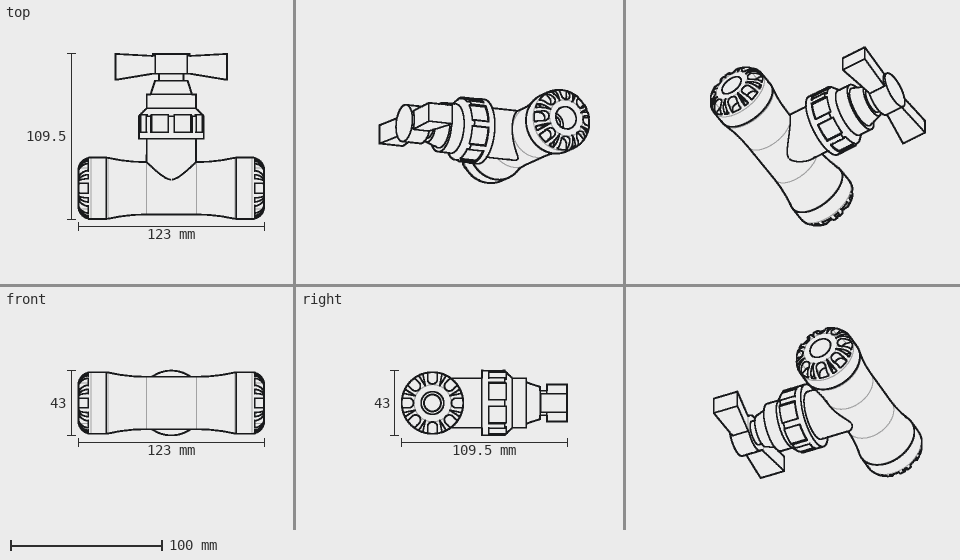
import cadquery as cq
import math

length = 123.0
waist_dia = 34.8
waist_half_length = 16.5
end_dia = 41.0
cap_face_dia = 24.6
cap_round = (end_dia - cap_face_dia) / 2
cap_length = 18.6
collar_length = 0.9
collar_dia = 40.6
bore_dia = 11.1
counterbore_dia = 15.0

grip_count = 8
grip_depth = 6.4
round_slot_inner_radius = 12.5
round_slot_width = 6.5
wedge_outer_radius = 22.1
wedge_outer_width = 3.7

branch_dia = 32.8
nut_dia = 43.0
nut_start = 32.7
bonnet_end = 62.1
nut_cone_end = 52.9
cone_start_dia = 27.5
cone_end_dia = 21.6
cone_end = 71.2
stem_dia = 16.4

rib_count = 8
rib_width = 4.0
nut_recess_dia = 41.0
nut_recess_start = 37.1

cutter_margin = 1.2

handle_top = 89.0
hub_dia = 24.6
hub_bottom = 75.8
handle_span = 74.0
blade_thickness = 12.5
blade_tip_bottom = 71.7
blade_root_top = 87.7
blade_root_x = hub_dia / 2


def branch_cylinder(diameter, start, end):
    """Round bar on the branch axis between two Y stations."""
    plane = cq.Workplane("XZ", origin=(0, start, 0))
    return plane.circle(diameter / 2).extrude(start - end)


def run_body():
    """Revolved run pipe: straight waist, then an arc flare, a thin collar and a rounded cap at each end."""
    half = length / 2
    end_radius = end_dia / 2
    waist_radius = waist_dia / 2
    collar_radius = collar_dia / 2
    cap_x = half - cap_length
    collar_x = cap_x - collar_length
    flare_run = collar_x - waist_half_length
    flare_rise = collar_radius - waist_radius
    arc_radius = (flare_run**2 + flare_rise**2) / (2 * flare_rise)
    mid_run = flare_run / 2
    mid_radius = waist_radius + arc_radius - math.sqrt(arc_radius**2 - mid_run**2)
    round_mid = cap_round * math.sqrt(0.5)
    end_profile = (
        cq.Workplane("XY")
        .moveTo(waist_half_length, 0)
        .lineTo(waist_half_length, waist_radius)
        .threePointArc((waist_half_length + mid_run, mid_radius), (collar_x, collar_radius))
        .lineTo(cap_x, collar_radius)
        .lineTo(cap_x, end_radius)
        .lineTo(half - cap_round, end_radius)
        .threePointArc(
            (half - cap_round + round_mid, cap_face_dia / 2 + round_mid),
            (half, cap_face_dia / 2),
        )
        .lineTo(half, 0)
        .close()
    )
    end = end_profile.revolve(360, (0, 0, 0), (1, 0, 0))
    waist = cq.Workplane("YZ").circle(waist_radius).extrude(waist_half_length, both=True)
    return waist.union(end).union(end.mirror("YZ"))


def cap_grips():
    """Cutters for the round-ended slots and the wedges between them on the +X cap."""
    face = cq.Workplane("YZ", origin=(length / 2 - grip_depth, 0, 0))
    slot_radius = round_slot_width / 2
    slot_centre = round_slot_inner_radius + slot_radius
    slot = (
        face.moveTo(end_dia, -slot_radius)
        .lineTo(slot_centre, -slot_radius)
        .threePointArc((round_slot_inner_radius, 0), (slot_centre, slot_radius))
        .lineTo(end_dia, slot_radius)
        .close()
        .extrude(length)
    )
    wedge = (
        face.moveTo(cap_face_dia / 2, 0)
        .lineTo(wedge_outer_radius, -wedge_outer_width / 2)
        .lineTo(wedge_outer_radius, wedge_outer_width / 2)
        .close()
        .extrude(length)
    )
    pitch = 360 / grip_count
    cutters = cq.Workplane("XY")
    for index in range(grip_count):
        cutters.add(slot.rotate((0, 0, 0), (1, 0, 0), index * pitch))
        cutters.add(wedge.rotate((0, 0, 0), (1, 0, 0), (index + 0.5) * pitch))
    return cutters.combine()


def run_bore():
    """Through bore with a wider counterbore as deep as each cap and collar."""
    depth = cap_length + collar_length
    start = cq.Workplane("YZ", origin=(-length / 2, 0, 0))
    bore = start.circle(bore_dia / 2).extrude(length)
    counterbore = start.circle(counterbore_dia / 2).extrude(depth)
    return bore.union(counterbore).union(counterbore.mirror("YZ"))


def nut():
    """Union nut with a 45 degree shoulder and recessed flats between ribs."""
    shoulder_start = nut_cone_end - (nut_dia - branch_dia) / 2
    profile = (
        cq.Workplane("XY")
        .moveTo(0, nut_start)
        .lineTo(nut_dia / 2, nut_start)
        .lineTo(nut_dia / 2, shoulder_start)
        .lineTo(branch_dia / 2, nut_cone_end)
        .lineTo(0, nut_cone_end)
        .close()
    )
    body = profile.revolve(360, (0, 0, 0), (0, 1, 0))
    recess = branch_cylinder(nut_dia + cutter_margin, nut_recess_start, nut_cone_end)
    recess = recess.cut(branch_cylinder(nut_recess_dia, nut_recess_start, nut_cone_end))
    recess_length = nut_cone_end - nut_recess_start
    rib = cq.Workplane("XY").box(rib_width, recess_length, nut_dia, centered=(True, False, False))
    rib = rib.translate((0, nut_recess_start, 0))
    for index in range(rib_count):
        recess = recess.cut(rib.rotate((0, 0, 0), (0, 1, 0), index * 360 / rib_count))
    return body.cut(recess)


def bonnet_cone():
    """Tapered gland between the bonnet and the stem."""
    profile = (
        cq.Workplane("XY")
        .moveTo(0, bonnet_end)
        .lineTo(cone_start_dia / 2, bonnet_end)
        .lineTo(cone_end_dia / 2, cone_end)
        .lineTo(0, cone_end)
        .close()
    )
    return profile.revolve(360, (0, 0, 0), (0, 1, 0))


def handle():
    """Round hub with two flat blades that widen towards their tips."""
    blade = (
        cq.Workplane("XY")
        .moveTo(0, hub_bottom)
        .lineTo(blade_root_x, hub_bottom)
        .lineTo(handle_span / 2, blade_tip_bottom)
        .lineTo(handle_span / 2, handle_top)
        .lineTo(blade_root_x, blade_root_top)
        .lineTo(0, blade_root_top)
        .close()
        .extrude(blade_thickness / 2, both=True)
    )
    hub = branch_cylinder(hub_dia, hub_bottom, handle_top)
    return hub.union(blade).union(blade.mirror("YZ"))


grips = cap_grips()
result = (
    run_body()
    .union(branch_cylinder(branch_dia, 0, bonnet_end))
    .union(nut())
    .union(bonnet_cone())
    .union(branch_cylinder(stem_dia, bonnet_end, handle_top))
    .union(handle())
    .cut(run_bore())
    .cut(grips)
    .cut(grips.mirror("YZ"))
)